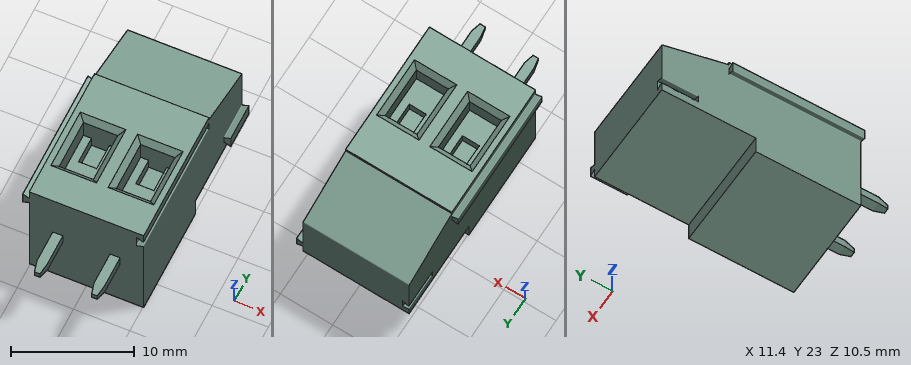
import cadquery as cq

pole_pitch = 5.08
pole_count = 2
body_width = pole_count * pole_pitch
body_length = 19.0
body_height = 10.5
pole_centres = [(i - (pole_count - 1) / 2) * pole_pitch for i in range(pole_count)]

raised_length = 12.58
roof_step = 0.3
back_top = 8.16
back_edge_radius = 0.12
foot_length = 10.03
foot_height = 1.89

dovetail_height = 1.2
dovetail_neck = 0.62
rib_depth = 0.6
groove_depth = 0.65
upper_dovetail_z = body_height - 1.26
lower_dovetail_z = 3.25
lower_dovetail_length = 3.5
dovetail_radius = 0.05

opening_width = 4.05
opening_length = 5.68
opening_y = 5.89
opening_bevel = 0.5
well_depth = 2.37
slot_width = 1.6
slot_length = 2.48
slot_depth = 1.01

pin_size = 0.9
pin_tip_size = 0.5
pin_length = 4.0
pin_taper_length = 1.0
pin_z = 5.52


def housing():
    outline = [
        (0, 0),
        (foot_length, 0),
        (foot_length, foot_height),
        (body_length, foot_height),
        (body_length, back_top),
        (raised_length, body_height - roof_step),
        (raised_length, body_height),
        (0, body_height),
    ]
    block = cq.Workplane("YZ").polyline(outline).close().extrude(body_width / 2, both=True)
    back_top_edge = cq.selectors.NearestToPointSelector((0, body_length, back_top))
    return block.edges(back_top_edge).fillet(back_edge_radius)


def dovetail(face_x, depth, z, start_y, length):
    """Bar along Y, narrow at the side face and widening to the left (-X) of it."""
    tail_x = face_x - depth
    outline = [
        (face_x, z - dovetail_neck / 2),
        (face_x, z + dovetail_neck / 2),
        (tail_x, z + dovetail_height / 2),
        (tail_x, z - dovetail_height / 2),
    ]
    bar = cq.Workplane("XZ", origin=(0, start_y, 0)).polyline(outline).close()
    return bar.extrude(-length)


def round_neck(part, face_x, z, middle_y):
    """Round the two edges where a dovetail meets the side face."""
    for side in (-1, 1):
        neck_edge = (face_x, middle_y, z + side * dovetail_neck / 2)
        part = part.edges(cq.selectors.NearestToPointSelector(neck_edge)).fillet(dovetail_radius)
    return part


def screw_opening(x):
    """Bevelled well with a deeper slot against the back wall of its floor."""
    well_width = opening_width - 2 * opening_bevel
    well_length = opening_length - 2 * opening_bevel
    slot_y = opening_y + (well_length - slot_length) / 2
    bevel = (
        cq.Workplane("XY", origin=(x, opening_y, body_height))
        .rect(opening_width, opening_length)
        .workplane(offset=-opening_bevel)
        .rect(well_width, well_length)
        .loft(ruled=True)
    )
    top = cq.Workplane("XY", origin=(x, 0, body_height - opening_bevel))
    well = top.center(0, opening_y).rect(well_width, well_length).extrude(opening_bevel - well_depth)
    slot = (
        cq.Workplane("XY", origin=(x, slot_y, body_height - well_depth))
        .rect(slot_width, slot_length)
        .extrude(-slot_depth)
    )
    return bevel.union(well).union(slot)


def pin(x):
    """Square pin pointing along -Y with a tapered tip."""
    shank_length = pin_length - pin_taper_length
    shank = cq.Workplane("XZ", origin=(x, 0, pin_z)).rect(pin_size, pin_size).extrude(shank_length)
    tip = (
        cq.Workplane("XZ", origin=(x, -shank_length, pin_z))
        .rect(pin_size, pin_size)
        .workplane(offset=pin_taper_length)
        .rect(pin_tip_size, pin_tip_size)
        .loft(ruled=True)
    )
    return shank.union(tip)


left_face = -body_width / 2
right_face = body_width / 2
upper_middle = raised_length / 2
lower_start = body_length - lower_dovetail_length
lower_middle = body_length - lower_dovetail_length / 2

result = housing()

upper_rib = dovetail(left_face, rib_depth, upper_dovetail_z, 0, raised_length)
upper_groove = dovetail(right_face, groove_depth, upper_dovetail_z, 0, raised_length)
result = result.union(upper_rib.edges("|Y and <X").fillet(dovetail_radius))
result = result.cut(upper_groove.edges("|Y and <X").fillet(dovetail_radius))

lower_rib = dovetail(right_face, -rib_depth, lower_dovetail_z, lower_start, lower_dovetail_length)
lower_groove = dovetail(left_face, -groove_depth, lower_dovetail_z, lower_start, lower_dovetail_length)
result = result.union(lower_rib).cut(lower_groove)

for face in (left_face, right_face):
    result = round_neck(result, face, upper_dovetail_z, upper_middle)
    result = round_neck(result, face, lower_dovetail_z, lower_middle)

for centre in pole_centres:
    result = result.cut(screw_opening(centre)).union(pin(centre))